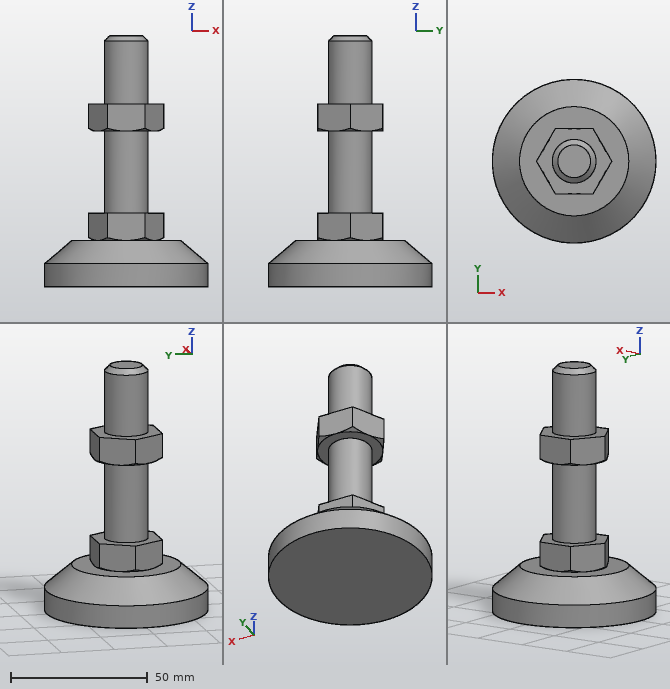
import cadquery as cq
import math

foot_diameter = 60
foot_top_diameter = 40
foot_rim_height = 8.5
foot_height = 17

stud_diameter = 16
stud_tip_chamfer = 2
overall_height = 92

hex_across_flats = 23.9
hex_across_corners = hex_across_flats / math.cos(math.pi / 6)
hex_height = 10
hex_chamfer_angle = 30
lock_nut_bottom = 57


def make_hexagon(bottom):
    """Hexagon with corners on the X axis and its bottom corners chamfered by a cone that meets the flats."""
    prism = (
        cq.Workplane("XY")
        .workplane(offset=bottom)
        .polygon(6, hex_across_corners)
        .extrude(hex_height)
    )
    face_radius = hex_across_flats / 2
    corner_radius = hex_across_corners / 2
    chamfer_height = (corner_radius - face_radius) * math.tan(math.radians(hex_chamfer_angle))
    envelope = (
        cq.Workplane("XZ")
        .moveTo(0, bottom)
        .lineTo(face_radius, bottom)
        .lineTo(corner_radius, bottom + chamfer_height)
        .lineTo(corner_radius, bottom + hex_height)
        .lineTo(0, bottom + hex_height)
        .close()
        .revolve(360, (0, 0, 0), (0, 1, 0))
    )
    return prism.intersect(envelope)


def make_foot():
    """Round foot: a straight rim below a cone with a flat top."""
    return (
        cq.Workplane("XZ")
        .lineTo(foot_diameter / 2, 0)
        .lineTo(foot_diameter / 2, foot_rim_height)
        .lineTo(foot_top_diameter / 2, foot_height)
        .lineTo(0, foot_height)
        .close()
        .revolve(360, (0, 0, 0), (0, 1, 0))
    )


def make_stud():
    """Shank with a chamfered tip and a hexagon that stands on the foot."""
    shank = (
        cq.Workplane("XY")
        .workplane(offset=foot_height)
        .circle(stud_diameter / 2)
        .extrude(overall_height - foot_height)
        .faces(">Z")
        .chamfer(stud_tip_chamfer)
    )
    return shank.union(make_hexagon(foot_height))


def make_lock_nut():
    """Loose nut whose bore fits the shank."""
    bore = (
        cq.Workplane("XY")
        .workplane(offset=lock_nut_bottom)
        .circle(stud_diameter / 2)
        .extrude(hex_height)
    )
    return make_hexagon(lock_nut_bottom).cut(bore)


foot = make_foot()
stud = make_stud()
lock_nut = make_lock_nut()

result = cq.Compound.makeCompound([foot.val(), stud.val(), lock_nut.val()])